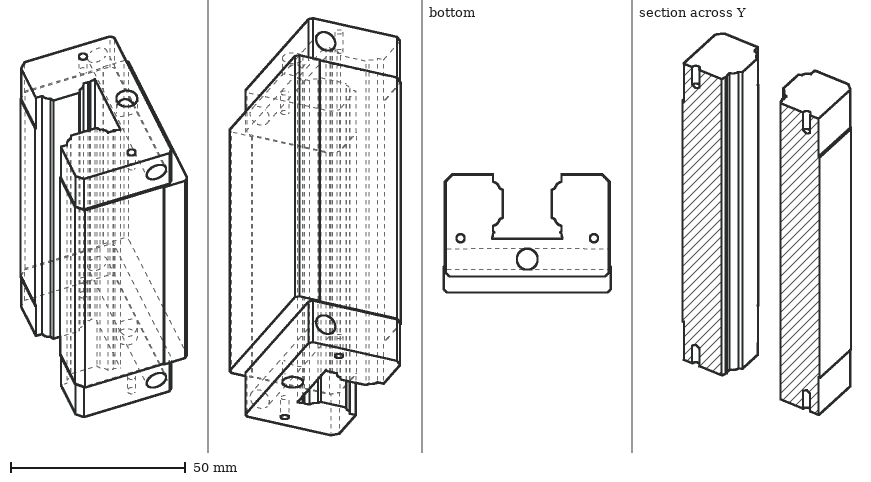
import cadquery as cq
import math

LENGTH = 107.3
WIDTH = 48.0
DEPTH = 33.9
BACK_Y = DEPTH / 2
FRONT_Y = -DEPTH / 2

CAP_LENGTH = 13.7
BODY_LENGTH = LENGTH - 2 * CAP_LENGTH
BODY_BACK_CHAMFER = 1.0
SIDE_RELIEF = 0.25
BACK_BAND_DEPTH = 7.3

CAP_WIDTH = 46.6
CAP_BACK_SETBACK = 4.6
CAP_FRONT_SETBACK = 0.2
CAP_BACK_CHAMFER = 1.0

FRONT_FACE_HALF_WIDTH = 21.5

FLOOR_Y = BACK_Y - 15.5
FLOOR_HALF_WIDTH = 10.1
UNDERCUT_HEIGHT = 1.1
WALL_HALF_WIDTH = 9.8
BEAD_Y = BACK_Y - 17.3
BEAD_HALF_HEIGHT = 0.3
BEAD_PROJECTION = 0.3

RIDGE_Y = BACK_Y - 25.4
RIDGE_HALF_WIDTH = 7.0
RIDGE_CREST_HALF_HEIGHT = 4.0
SHOULDER_HALF_WIDTH = 7.9
SHOULDER_HALF_HEIGHT = 4.5
RIDGE_FOOT_HALF_HEIGHT = 6.3
RACE_RADIUS = 4.8 / 2

LUBE_DIAMETER = 6.0
LUBE_Y = BACK_Y - 9.5
LUBE_END_DISTANCE = 6.8

SCREW_DIAMETER = 2.4
SCREW_HALF_SPACING = 19.1
SCREW_Y = BACK_Y - 15.6
SCREW_DEPTH = 6.4
DRILL_POINT_ANGLE = 118.0


def mirrored_prism(half_outline, length):
    """Extrude a right-hand outline and its mirror image, centred on Z."""
    left_half = [(-x, y) for x, y in reversed(half_outline)]
    return (
        cq.Workplane("XY")
        .workplane(offset=-length / 2)
        .polyline(half_outline + left_half)
        .close()
        .extrude(length)
    )


def body():
    half_width = WIDTH / 2
    relieved = half_width - SIDE_RELIEF
    band_y = BACK_Y - BACK_BAND_DEPTH
    outline = [
        (half_width - BODY_BACK_CHAMFER, BACK_Y),
        (half_width, BACK_Y - BODY_BACK_CHAMFER),
        (half_width, band_y),
        (relieved, band_y - SIDE_RELIEF),
        (relieved, FRONT_Y + relieved - FRONT_FACE_HALF_WIDTH),
        (FRONT_FACE_HALF_WIDTH, FRONT_Y),
    ]
    return mirrored_prism(outline, BODY_LENGTH)


def cap_core():
    """One full-length prism whose two ends form the caps."""
    half_width = CAP_WIDTH / 2
    back = BACK_Y - CAP_BACK_SETBACK
    front = FRONT_Y + CAP_FRONT_SETBACK
    outline = [
        (half_width - CAP_BACK_CHAMFER, back),
        (half_width, back - CAP_BACK_CHAMFER),
        (half_width, front + half_width - FRONT_FACE_HALF_WIDTH),
        (FRONT_FACE_HALF_WIDTH, front),
    ]
    return mirrored_prism(outline, LENGTH)


def half_channel():
    """Cutter for the +X half of the rail channel."""
    bead_crest = WALL_HALF_WIDTH - BEAD_PROJECTION
    return (
        cq.Workplane("XY")
        .workplane(offset=-LENGTH / 2)
        .moveTo(0, FLOOR_Y)
        .lineTo(FLOOR_HALF_WIDTH, FLOOR_Y)
        .lineTo(WALL_HALF_WIDTH, FLOOR_Y - UNDERCUT_HEIGHT)
        .lineTo(WALL_HALF_WIDTH, BEAD_Y + BEAD_HALF_HEIGHT)
        .lineTo(bead_crest, BEAD_Y)
        .lineTo(WALL_HALF_WIDTH, BEAD_Y - BEAD_HALF_HEIGHT)
        .lineTo(WALL_HALF_WIDTH, RIDGE_Y + RIDGE_FOOT_HALF_HEIGHT)
        .radiusArc((SHOULDER_HALF_WIDTH, RIDGE_Y + SHOULDER_HALF_HEIGHT), -RACE_RADIUS)
        .lineTo(RIDGE_HALF_WIDTH, RIDGE_Y + RIDGE_CREST_HALF_HEIGHT)
        .lineTo(RIDGE_HALF_WIDTH, RIDGE_Y - RIDGE_CREST_HALF_HEIGHT)
        .lineTo(SHOULDER_HALF_WIDTH, RIDGE_Y - SHOULDER_HALF_HEIGHT)
        .radiusArc((WALL_HALF_WIDTH, RIDGE_Y - RIDGE_FOOT_HALF_HEIGHT), -RACE_RADIUS)
        .lineTo(WALL_HALF_WIDTH, FRONT_Y)
        .lineTo(0, FRONT_Y)
        .close()
        .extrude(LENGTH)
    )


def top_cap_holes():
    """Cutters for the holes of the +Z cap."""
    top = LENGTH / 2
    lube_z = top - LUBE_END_DISTANCE
    cross_hole = (
        cq.Workplane("YZ")
        .center(LUBE_Y, lube_z)
        .circle(LUBE_DIAMETER / 2)
        .extrude(CAP_WIDTH / 2, both=True)
    )
    end_port = (
        cq.Workplane("XY")
        .workplane(offset=lube_z)
        .center(0, LUBE_Y)
        .circle(LUBE_DIAMETER / 2)
        .extrude(LUBE_END_DISTANCE)
    )
    holes = cross_hole.union(end_port)
    radius = SCREW_DIAMETER / 2
    point_length = radius / math.tan(math.radians(DRILL_POINT_ANGLE / 2))
    drill = (
        cq.Workplane("XZ")
        .polyline([
            (0, top),
            (radius, top),
            (radius, top - SCREW_DEPTH),
            (0, top - SCREW_DEPTH - point_length),
        ])
        .close()
        .revolve(360, (0, 0, 0), (0, 1, 0))
    )
    for side in (-1, 1):
        holes = holes.union(drill.translate((side * SCREW_HALF_SPACING, SCREW_Y, 0)))
    return holes


channel = half_channel()
channel = channel.union(channel.mirror("YZ"))
cap_holes = top_cap_holes()

result = (
    body()
    .union(cap_core())
    .cut(channel)
    .cut(cap_holes)
    .cut(cap_holes.mirror("XY"))
)